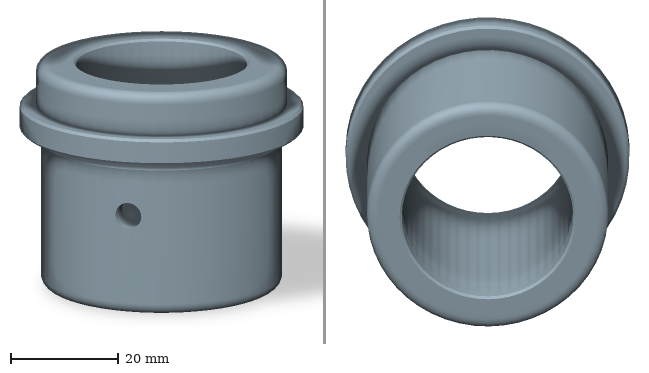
import cadquery as cq

flange_radius = 26.5
flange_bottom = 30.0
flange_thickness = 5.0
flange_top = flange_bottom + flange_thickness
flange_chamfer = 0.5
total_height = 43.0
head_radius = 23.5
barrel_radius = 22.5
end_fillet = 2.0

neck_radius = 21.8
neck_height = 2.0
neck_depth = barrel_radius - neck_radius
neck_arc_radius = (neck_height**2 + neck_depth**2) / (2 * neck_depth)

liner_radius = 18.0
bore_radius = 16.0
bore_chamfer = 0.4

side_hole_diameter = 5.0
side_hole_height = 18.95


def make_profile():
    """Half section of the housing, with X as radius and the second axis as Z."""
    neck_bottom = flange_bottom - neck_height
    return (
        cq.Workplane("XZ")
        .moveTo(liner_radius, 0)
        .lineTo(barrel_radius - end_fillet, 0)
        .radiusArc((barrel_radius, end_fillet), -end_fillet)
        .lineTo(barrel_radius, neck_bottom)
        .radiusArc((neck_radius, flange_bottom), neck_arc_radius)
        .lineTo(flange_radius - flange_chamfer, flange_bottom)
        .lineTo(flange_radius, flange_bottom + flange_chamfer)
        .lineTo(flange_radius, flange_top - flange_chamfer)
        .lineTo(flange_radius - flange_chamfer, flange_top)
        .lineTo(head_radius, flange_top)
        .lineTo(head_radius, total_height - end_fillet)
        .radiusArc((head_radius - end_fillet, total_height), -end_fillet)
        .lineTo(liner_radius, total_height)
        .close()
    )


def make_housing():
    """Revolved housing with a side hole that stops at the liner."""
    body = make_profile().revolve(360, (0, 0, 0), (0, 1, 0))
    side_hole = (
        cq.Workplane("XZ")
        .center(0, side_hole_height)
        .circle(side_hole_diameter / 2)
        .extrude(flange_radius)
    )
    return body.cut(side_hole)


def make_liner():
    """Plain sleeve filling the housing bore, chamfered at both bore mouths."""
    sleeve = cq.Workplane("XY").circle(liner_radius).circle(bore_radius).extrude(total_height)
    bore_edges = sleeve.edges(cq.selectors.RadiusNthSelector(0))
    return bore_edges.chamfer(bore_chamfer)


housing = make_housing()
liner = make_liner()

result = cq.Compound.makeCompound([housing.val(), liner.val()])